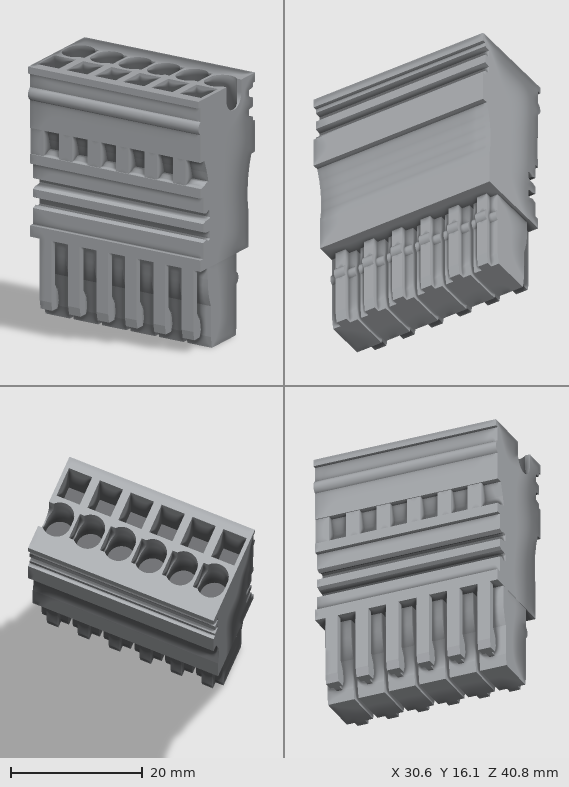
import cadquery as cq


pole_count = 6
total_width = 30.6
total_depth = 16.15
total_height = 40.75
pole_width = total_width / pole_count

housing_bottom = 13.2
foot_top = 15.05
rear_waist_bottom = 18.55
waist_middle = 21.92
rear_waist_top = 28.0
front_flange_bottom = 25.0
rear_block_top = 33.05
rear_collar_bottom = 39.25
front_collar_bottom = 39.65

front_face = 0.6
window_band_face = 0.77
rack_face = 1.4
housing_back = 14.35
waist_back = 14.0
rear_block_ledge = 15.1
rear_rack_face = 15.53

ridge_bottom = 35.2
ridge_top = 37.33

front_rack_center = 20.0
front_groove_floor = 3.35
groove_corner = 0.2
front_tooth_tip = 0.65
front_tooth_root = 1.0
front_tooth_middle = 0.95
front_tooth_shoulder = 2.08
front_groove_outer = 2.45
front_lip = 2.1
front_lip_position = 2.2
front_mouth = 2.4

rear_rack_center = 36.2
rear_groove_floor = 14.45
rear_tooth_tip = 0.75
rear_tooth_root = 0.95
rear_groove_outer = 2.2
rear_mouth = 2.35

window_left = 2.3
window_bottom = 26.53
window_top = 30.73
window_ceiling_back = 1.7
window_wall_top = (2.45, 28.65)
window_floor_back = (2.85, 27.1)
window_floor_upper_fold = (2.32, 27.05)
window_floor_lower_fold = (1.65, 26.7)

entry_left = 0.5
entry_width = 4.4
entry_length = 5.65
entry_center_y = 10.1
opening_depth = 8.15
release_left = 0.6
release_width = 3.85
release_front = 1.75
release_length = 4.85
notch_radius = 2.1
notch_center_z = total_height - 2.15

plug_left = 0.65
plug_right = 5.05
plug_front_top = 2.75
plug_front = 3.63
plug_back = 12.05
plug_tip_front = 3.9
plug_tip_back = 11.78
plug_taper = 1.85
plug_curve_bottom = 6.8
plug_curve_top = 11.35
plug_curve_middle_y = 2.95
plug_bump_bottom = 8.25
plug_bump_top = 10.15
plug_bump_height = 0.5
rail_depth = 1.05
rail_inset = 1.3

arm_left = 1.7
arm_right = 3.8
arm_thickness = 1.05
arm_tip = 1.87
arm_tip_chamfer_top = 3.3
arm_tip_front = 0.9
hook_root = 5.95
hook_top = 4.52
hook_middle = 3.0
hook_top_y = 2.53
hook_middle_y = 2.77
hook_tip_y = 2.4

web_inset = 0.57


def extrude_along_x(outline, left, right):
    """Extrude a YZ outline between two X positions."""
    return outline.close().extrude(right - left).translate((left, 0, 0))


def yz_start(y, z):
    return cq.Workplane("YZ").moveTo(y, z)


def front_rack_points():
    """Lower half of the front grooves, as Y and distance from the mirror level."""
    return [
        (rack_face, front_mouth),
        (front_lip_position, front_lip),
        (front_groove_floor - 2 * groove_corner, front_groove_outer),
        (front_groove_floor, front_groove_outer - groove_corner),
        (front_groove_floor, front_tooth_root + groove_corner),
        (front_groove_floor - groove_corner, front_tooth_root),
        (front_tooth_shoulder, front_tooth_middle),
        (rack_face, front_tooth_tip),
    ]


def rear_rack_points():
    """Upper half of the rear grooves, as Y and distance from the mirror level."""
    return [
        (rear_rack_face, rear_mouth),
        (rear_groove_floor, rear_groove_outer),
        (rear_groove_floor, rear_tooth_root),
        (rear_rack_face, rear_tooth_tip),
    ]


def both_halves(half, center):
    """Mirror half a groove pair about its center level, giving points from top to bottom."""
    upper = [(y, center + offset) for y, offset in half]
    lower = [(y, center - offset) for y, offset in reversed(half)]
    return upper + lower


def make_housing_block():
    """Upper body of one pole, as a single profile across the pole."""
    front_rack = both_halves(front_rack_points(), front_rack_center)
    rear_rack = both_halves(rear_rack_points(), rear_rack_center)
    outline = (
        yz_start(total_depth, total_height)
        .lineTo(0, total_height)
        .lineTo(0, front_collar_bottom)
        .lineTo(front_face, front_collar_bottom)
        .lineTo(front_face, ridge_top)
        .threePointArc((0, (ridge_top + ridge_bottom) / 2), (front_face, ridge_bottom))
        .lineTo(front_face, window_top)
        .lineTo(window_band_face, window_top)
        .lineTo(window_band_face, window_bottom)
        .lineTo(front_face, window_bottom)
        .lineTo(front_face, front_flange_bottom)
        .lineTo(rack_face, front_flange_bottom)
    )
    for y, z in front_rack:
        outline = outline.lineTo(y, z)
    outline = (
        outline.lineTo(rack_face, foot_top)
        .lineTo(front_face, foot_top)
        .lineTo(front_face, housing_bottom)
        .lineTo(housing_back, housing_bottom)
        .lineTo(housing_back, rear_waist_bottom)
        .threePointArc((waist_back, waist_middle), (rear_block_ledge, rear_waist_top))
        .lineTo(total_depth, rear_waist_top)
        .lineTo(total_depth, rear_block_top)
        .lineTo(rear_rack_face, rear_block_top)
    )
    for y, z in reversed(rear_rack):
        outline = outline.lineTo(y, z)
    outline = outline.lineTo(rear_rack_face, rear_collar_bottom).lineTo(total_depth, rear_collar_bottom)
    return extrude_along_x(outline, 0, pole_width)


def make_test_window():
    outline = (
        yz_start(0, window_top)
        .lineTo(window_ceiling_back, window_top)
        .lineTo(*window_wall_top)
        .lineTo(*window_floor_back)
        .lineTo(*window_floor_upper_fold)
        .lineTo(*window_floor_lower_fold)
        .lineTo(window_band_face, window_bottom)
        .lineTo(0, window_bottom)
    )
    return extrude_along_x(outline, window_left, pole_width)


def make_wire_entry():
    """Slotted hole with a round-bottomed notch that opens it to the +X side."""
    entry_center_x = entry_left + entry_width / 2
    hole = (
        cq.Workplane("XY", origin=(entry_center_x, entry_center_y, total_height))
        .slot2D(entry_length, entry_width, 90)
        .extrude(-opening_depth)
    )
    notch_outline = (
        yz_start(entry_center_y - notch_radius, total_height)
        .lineTo(entry_center_y - notch_radius, notch_center_z)
        .threePointArc(
            (entry_center_y, notch_center_z - notch_radius),
            (entry_center_y + notch_radius, notch_center_z),
        )
        .lineTo(entry_center_y + notch_radius, total_height)
    )
    return hole.union(extrude_along_x(notch_outline, entry_center_x, pole_width))


def make_release_opening():
    return cq.Workplane("XY").box(release_width, release_length, opening_depth, centered=False).translate(
        (release_left, release_front, total_height - opening_depth)
    )


def make_plug_slab(setback, left, right):
    """Plug profile whose back, including its bump, is moved forward by the setback."""
    back = plug_back - setback
    bump_middle = (plug_bump_bottom + plug_bump_top) / 2
    curve_middle_z = (plug_curve_bottom + plug_curve_top) / 2
    outline = (
        yz_start(plug_tip_front, 0)
        .lineTo(plug_front, plug_taper)
        .lineTo(plug_front, plug_curve_bottom)
        .threePointArc((plug_curve_middle_y, curve_middle_z), (plug_front_top, plug_curve_top))
        .lineTo(plug_front_top, housing_bottom)
        .lineTo(back, housing_bottom)
        .lineTo(back, plug_bump_top)
        .threePointArc((back + plug_bump_height, bump_middle), (back, plug_bump_bottom))
        .lineTo(back, plug_taper)
        .lineTo(plug_tip_back - setback, 0)
    )
    return extrude_along_x(outline, left, right)


def make_plug():
    """Wide slab plus a narrower guide rail centered on its back."""
    slab = make_plug_slab(rail_depth, plug_left, plug_right)
    rail = make_plug_slab(0, plug_left + rail_inset, plug_right - rail_inset)
    return slab.union(rail)


def make_latch_arm():
    arm_inner = front_face + arm_thickness
    outline = (
        yz_start(front_face, housing_bottom)
        .lineTo(front_face, arm_tip_chamfer_top)
        .lineTo(arm_tip_front, arm_tip)
        .lineTo(hook_tip_y, arm_tip)
        .lineTo(hook_middle_y, hook_middle)
        .lineTo(hook_top_y, hook_top)
        .lineTo(arm_inner, hook_root)
        .lineTo(arm_inner, housing_bottom)
    )
    arm = extrude_along_x(outline, arm_left, arm_right)
    web_outline = (
        yz_start(hook_tip_y, arm_tip)
        .lineTo(plug_front, arm_tip)
        .lineTo(plug_front, hook_top)
        .lineTo(hook_tip_y, hook_top)
    )
    web = extrude_along_x(web_outline, arm_left + web_inset, arm_right - web_inset)
    return arm.union(web)


def make_pole():
    housing = make_housing_block().union(make_plug()).union(make_latch_arm())
    return housing.cut(make_test_window()).cut(make_wire_entry()).cut(make_release_opening())


pole = make_pole()
poles = [pole.translate((index * pole_width, 0, 0)).val() for index in range(pole_count)]

result = cq.Compound.makeCompound(poles)